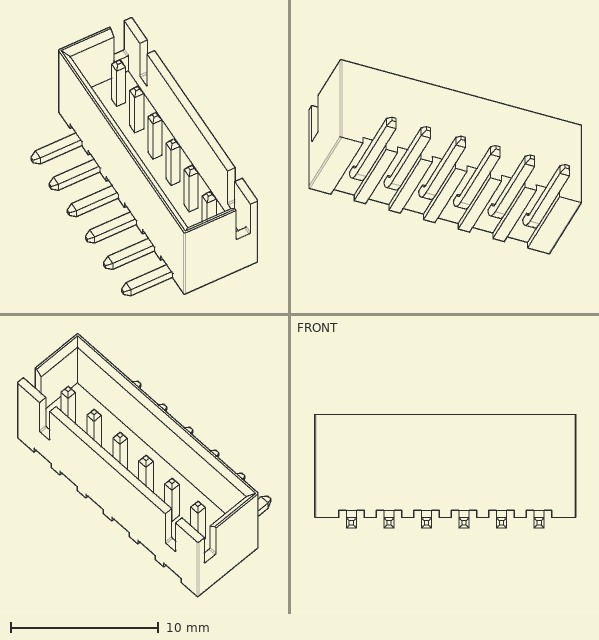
import cadquery as cq


pin_count = 6
pitch = 2.54
pin_width = 0.7
pin_top = 6.4
tip_width = 0.3
contact_tip_length = 0.4
leg_tip_length = 0.45
leg_reach = 3.4
bend_outer_radius = 1.3
bend_inner_radius = bend_outer_radius - pin_width
pin_x_positions = [(i - (pin_count - 1) / 2) * pitch for i in range(pin_count)]

end_margin = 2.5
housing_length = (pin_count - 1) * pitch + 2 * end_margin
housing_depth = 5.7
housing_height = 7.0
wall = 0.6
floor_top = 2.0
edge_radius = 0.1
lip_width = 0.15
lead_in = wall - lip_width
pin_row_setback = 2.4

half_length = housing_length / 2
back_y = pin_row_setback
front_y = back_y - housing_depth
inner_back_y = back_y - wall
leg_end_y = front_y - leg_reach

end_slot_bottom = 3.7
back_slot_bottom = 3.3
slot_corner_radius = 0.1
end_slot_width = 1.1
back_slot_width = 1.0
back_slot_offset = 2.2

notch_width = 1.7
notch_height = 0.5


def box(x_min, x_max, y_min, y_max, z_min, z_max):
    """Block given by its limits along each axis."""
    size = (x_max - x_min, y_max - y_min, z_max - z_min)
    return cq.Workplane("XY").box(*size, centered=False).translate((x_min, y_min, z_min))


def make_shell():
    """Outer block with its upright and end bottom edges rounded."""
    block = box(-half_length, half_length, front_y, back_y, 0, housing_height)
    rounded_uprights = block.edges("|Z").fillet(edge_radius)
    rounded_end_bottoms = block.edges("|Y and <Z").fillet(edge_radius)
    return rounded_uprights.intersect(rounded_end_bottoms)


def make_cavity():
    """Open cavity with a sloped lead-in on the front and both ends."""
    half_cavity = half_length - wall
    cavity = box(-half_cavity, half_cavity, front_y + wall, inner_back_y, floor_top, housing_height)
    half_rim = half_length - lip_width
    end_lead_in = (
        cq.Workplane("XZ", origin=(0, inner_back_y, 0))
        .moveTo(-half_rim, housing_height)
        .lineTo(half_rim, housing_height)
        .lineTo(half_cavity, housing_height - lead_in)
        .lineTo(-half_cavity, housing_height - lead_in)
        .close()
        .extrude(inner_back_y - front_y - lip_width)
    )
    front_lead_in = (
        cq.Workplane("YZ", origin=(-half_rim, 0, 0))
        .moveTo(front_y + lip_width, housing_height)
        .lineTo(inner_back_y, housing_height)
        .lineTo(inner_back_y, housing_height - lead_in)
        .lineTo(front_y + wall, housing_height - lead_in)
        .close()
        .extrude(2 * half_rim)
    )
    return cavity.union(end_lead_in.intersect(front_lead_in))


def make_end_slots():
    """Slot through both end walls, against the back wall."""
    slot = box(-half_length, half_length, inner_back_y - end_slot_width, inner_back_y,
               end_slot_bottom, housing_height)
    return slot.edges("|X and <Z").fillet(slot_corner_radius)


def make_back_slot(side):
    """Slot through the back wall near one end; side is -1 or 1."""
    centre_x = side * (half_length - back_slot_offset - back_slot_width / 2)
    slot = box(centre_x - back_slot_width / 2, centre_x + back_slot_width / 2,
               inner_back_y, back_y, back_slot_bottom, housing_height)
    return slot.edges("|Y and <Z").fillet(slot_corner_radius)


def make_notch(x):
    """Clearance under the housing around one leg, open front and back."""
    return box(x - notch_width / 2, x + notch_width / 2, front_y, back_y, 0, notch_height)


def make_tip(plane, length):
    """Pyramid frustum that ends a pin."""
    return (
        cq.Workplane(plane)
        .rect(pin_width, pin_width)
        .workplane(offset=length)
        .rect(tip_width, tip_width)
        .loft(ruled=True)
    )


def make_pin():
    """Upright contact bent forward into a leg, tapered at both ends."""
    half = pin_width / 2
    contact_shoulder_z = pin_top - contact_tip_length
    leg_shoulder_y = leg_end_y + leg_tip_length
    bend_y = half - bend_outer_radius
    bend_z = bend_inner_radius
    diagonal = 0.5 ** 0.5
    body = (
        cq.Workplane("YZ", origin=(-half, 0, 0))
        .moveTo(half, contact_shoulder_z)
        .lineTo(half, bend_z)
        .threePointArc(
            (bend_y + bend_outer_radius * diagonal, bend_z - bend_outer_radius * diagonal),
            (bend_y, bend_z - bend_outer_radius),
        )
        .lineTo(leg_shoulder_y, -pin_width)
        .lineTo(leg_shoulder_y, 0)
        .lineTo(bend_y, 0)
        .threePointArc(
            (bend_y + bend_inner_radius * diagonal, bend_z - bend_inner_radius * diagonal),
            (-half, bend_z),
        )
        .lineTo(-half, contact_shoulder_z)
        .close()
        .extrude(pin_width)
    )
    contact_tip = make_tip(cq.Plane.XY((0, 0, contact_shoulder_z)), contact_tip_length)
    leg_tip = make_tip(cq.Plane.XZ((0, leg_shoulder_y, -half)), leg_tip_length)
    return body.union(contact_tip).union(leg_tip)


housing = make_shell().cut(make_cavity()).cut(make_end_slots())
for side in (-1, 1):
    housing = housing.cut(make_back_slot(side))
for x in pin_x_positions:
    housing = housing.cut(make_notch(x))

result = housing
pin = make_pin()
for x in pin_x_positions:
    result = result.union(pin.translate((x, 0, 0)))